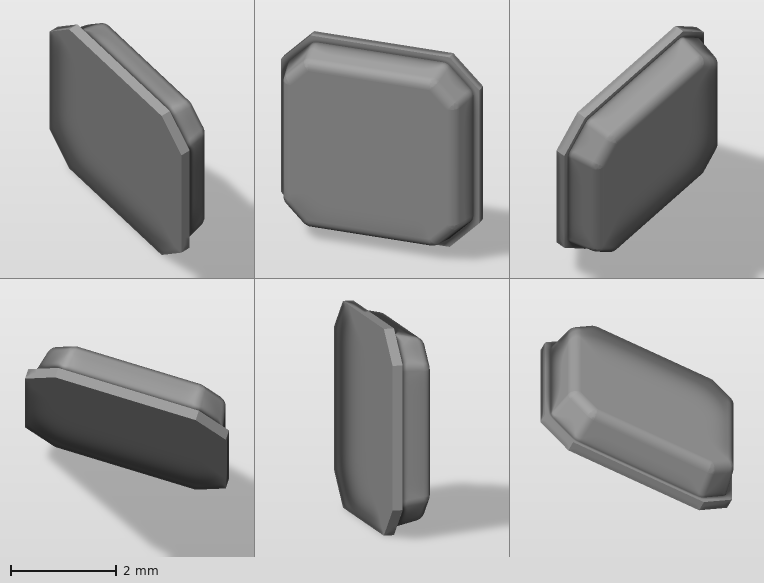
import cadquery as cq

body_size = 4.0
total_height = 0.85
base_thickness = 0.2
base_chamfer = 0.6

lid_size = 3.75
lid_chamfer = 0.53
lid_taper = 12.0
lid_fillet = 0.2
lid_height = total_height - base_thickness

pads_per_side = 4
pad_pitch = 0.65
pad_width = 0.31
pad_length = 0.6

thermal_size = 2.1
notch_radius = 0.145
notch_drop = 0.36


def bottom_plane(y=0.0):
    """Plane at height y with axes X and -Z, facing +Y."""
    return cq.Workplane(cq.Plane(origin=(0, y, 0), xDir=(1, 0, 0), normal=(0, 1, 0)))


def chamfered_square(plane, size, chamfer):
    half = size / 2
    flat = half - chamfer
    return plane.polyline([
        (-flat, -half), (flat, -half), (half, -flat), (half, flat),
        (flat, half), (-flat, half), (-half, flat), (-half, -flat),
    ]).close()


def make_lid():
    plane = bottom_plane(base_thickness)
    lid = chamfered_square(plane, lid_size, lid_chamfer).extrude(lid_height, taper=lid_taper)
    lid = lid.edges("not(#Y)").fillet(lid_fillet)
    return lid.faces(">Y").edges().fillet(lid_fillet)


def make_contact(offset, angle):
    """Full-thickness contact with a round inner end, turned to one side of the base."""
    half_width = pad_width / 2
    outer = body_size / 2
    tip = outer - pad_length
    contact = (
        bottom_plane()
        .moveTo(offset - half_width, outer)
        .lineTo(offset - half_width, tip + half_width)
        .threePointArc((offset, tip), (offset + half_width, tip + half_width))
        .lineTo(offset + half_width, outer)
        .close()
        .extrude(base_thickness)
    )
    return contact.rotate((0, 0, 0), (0, 1, 0), angle)


def make_thermal_pad():
    half = thermal_size / 2
    pad = bottom_plane().rect(thermal_size, thermal_size).extrude(base_thickness)
    notch = bottom_plane().center(-half, notch_drop - half).circle(notch_radius).extrude(base_thickness)
    return pad.cut(notch)


inserts = [make_thermal_pad()]
for side in range(4):
    for index in range(pads_per_side):
        pad_offset = (index - (pads_per_side - 1) / 2) * pad_pitch
        inserts.append(make_contact(pad_offset, 90 * side))

base = chamfered_square(bottom_plane(), body_size, base_chamfer).extrude(base_thickness)
result = base.union(make_lid(), clean=False)
for insert in inserts:
    result = result.cut(insert, clean=False).union(insert, clean=False)